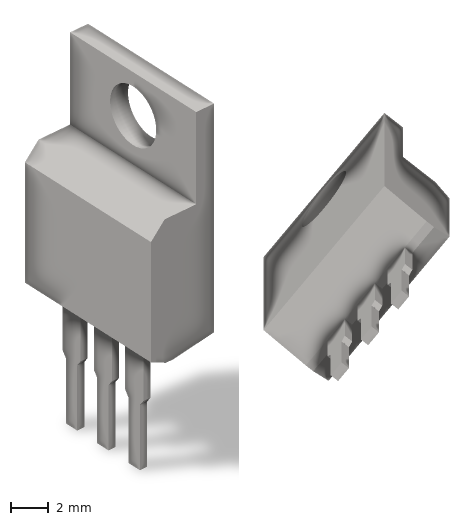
import cadquery as cq

width = 10.25
depth = 4.45
height = 22.98
back = depth / 2
front = -depth / 2

tab_thickness = 1.26
hole_diameter = 3.75
hole_height = 20.2

body_top = 17.1
top_bevel_depth = 0.97
top_bevel_drop = 1.03
body_lower_edge = 8.39
body_bottom = 7.9

lead_count = 3
lead_pitch = 2.55
lead_thickness = 0.5
lead_back_inset = 2.9
lead_wide = 1.47
lead_narrow = 0.92
shoulder_top = 4.55
shoulder_bottom = 4.15
lead_embed = 0.92

lead_back = back - lead_back_inset
lead_front = lead_back - lead_thickness


def make_body():
    """Moulded body and tab, one side profile extruded across the width."""
    profile = [
        (back, height),
        (back, body_lower_edge),
        (lead_back, body_bottom),
        (lead_front, body_bottom),
        (front, body_lower_edge),
        (front, body_top - top_bevel_drop),
        (front + top_bevel_depth, body_top),
        (back - tab_thickness, body_top),
        (back - tab_thickness, height),
    ]
    return cq.Workplane("YZ").polyline(profile).close().extrude(width / 2, both=True)


def make_hole():
    """Cutter for the mounting hole through the tab."""
    return (
        cq.Workplane("XZ", origin=(0, back, hole_height))
        .circle(hole_diameter / 2)
        .extrude(tab_thickness)
    )


def make_lead(x):
    """Flat lead centred at x, narrowing below its shoulders."""
    lead_top = body_bottom + lead_embed
    right_side = [
        (lead_narrow / 2, 0),
        (lead_narrow / 2, shoulder_bottom),
        (lead_wide / 2, shoulder_top),
        (lead_wide / 2, lead_top),
    ]
    left_side = [(-px, pz) for px, pz in reversed(right_side)]
    return (
        cq.Workplane("XZ", origin=(x, lead_back, 0))
        .polyline(right_side + left_side)
        .close()
        .extrude(lead_thickness)
    )


result = make_body().cut(make_hole())
for index in range(lead_count):
    lead_x = (index - (lead_count - 1) / 2) * lead_pitch
    result = result.union(make_lead(lead_x))